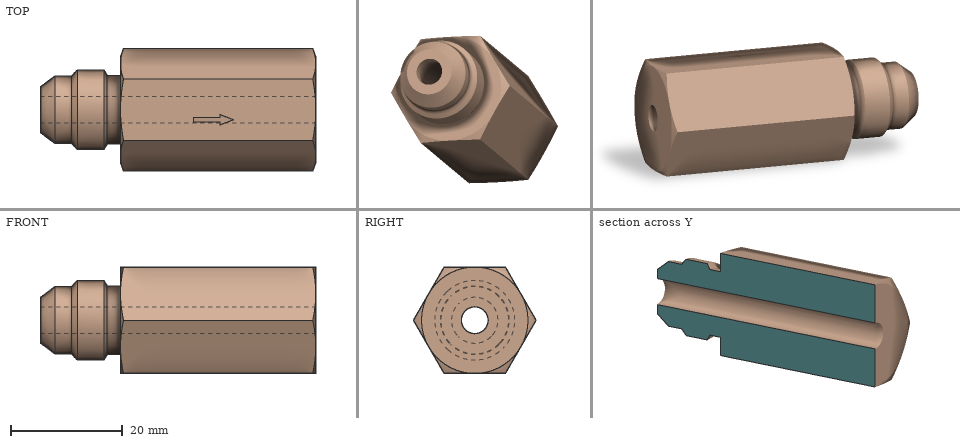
import cadquery as cq
import math

total_length = 49.23
across_flats = 19.05
across_corners = across_flats / math.cos(math.radians(30))
bore_diameter = 4.75

nose_diameter = 12.09
nose_cone_length = 2.53
nose_cone_angle = 37.0
thread_diameter = 14.28
thread_start = 5.5
thread_lead_in = 1.07
thread_full_end = 11.33
neck_diameter = 12.29
neck_start = 11.9

hex_start = 14.28
hex_chamfer_angle = 20.0

arrow_start = 27.3
arrow_shaft_length = 4.77
arrow_head_length = 2.45
arrow_shaft_width = 0.78
arrow_head_width = 1.85
arrow_center_y = -1.79
arrow_depth = 0.1


def revolve_profile(points):
    """Revolve a closed (x, radius) outline about the X axis."""
    return cq.Workplane("XY").polyline(points).close().revolve(360, (0, 0, 0), (1, 0, 0))


def make_nose():
    """Cone, plain nose, thread cylinder and neck as one turned solid."""
    nose_radius = nose_diameter / 2
    thread_radius = thread_diameter / 2
    neck_radius = neck_diameter / 2
    tip_radius = nose_radius - nose_cone_length * math.tan(math.radians(nose_cone_angle))
    return revolve_profile([
        (0, 0),
        (0, tip_radius),
        (nose_cone_length, nose_radius),
        (thread_start, nose_radius),
        (thread_start + thread_lead_in, thread_radius),
        (thread_full_end, thread_radius),
        (neck_start, neck_radius),
        (hex_start, neck_radius),
        (hex_start, 0),
    ])


def make_hex_body():
    """Hexagon with flats at top and bottom, its corners turned down at both ends."""
    hexagon = (
        cq.Workplane("YZ", origin=(hex_start, 0, 0))
        .polygon(6, across_corners)
        .extrude(total_length - hex_start)
    )
    face_radius = across_flats / 2
    corner_radius = across_corners / 2
    chamfer_length = (corner_radius - face_radius) * math.tan(math.radians(hex_chamfer_angle))
    turned_blank = revolve_profile([
        (hex_start, 0),
        (hex_start, face_radius),
        (hex_start + chamfer_length, corner_radius),
        (total_length - chamfer_length, corner_radius),
        (total_length, face_radius),
        (total_length, 0),
    ])
    return hexagon.intersect(turned_blank)


def make_bore():
    """Through bore along the axis."""
    return cq.Workplane("YZ").circle(bore_diameter / 2).extrude(total_length)


def make_flow_arrow():
    """Cutter for the arrow that points along +X."""
    half_shaft = arrow_shaft_width / 2
    half_head = arrow_head_width / 2
    outline = [
        (0, -half_shaft),
        (arrow_shaft_length, -half_shaft),
        (arrow_shaft_length, -half_head),
        (arrow_shaft_length + arrow_head_length, 0),
        (arrow_shaft_length, half_head),
        (arrow_shaft_length, half_shaft),
        (0, half_shaft),
    ]
    top_flat = (arrow_start, arrow_center_y, across_flats / 2)
    return cq.Workplane("XY", origin=top_flat).polyline(outline).close().extrude(-arrow_depth)


result = make_nose().union(make_hex_body()).cut(make_bore()).cut(make_flow_arrow())